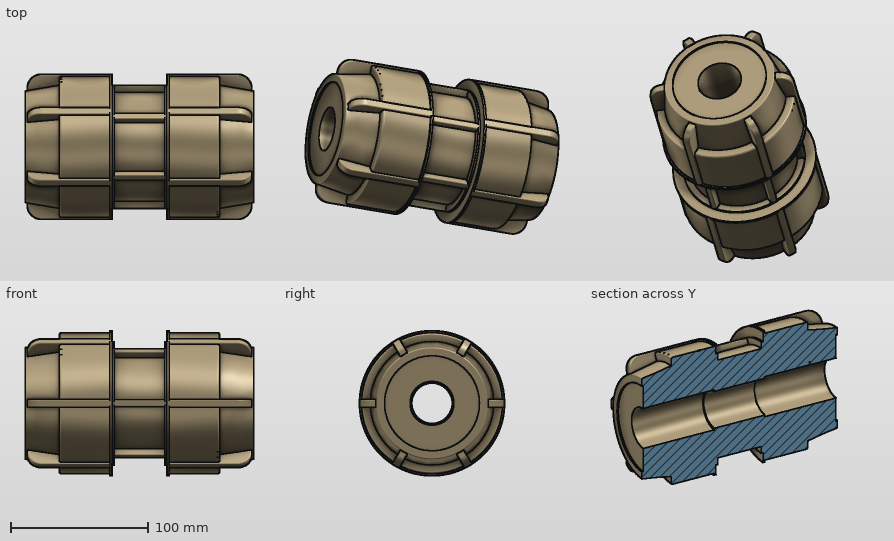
import cadquery as cq


half_length = 83.5
collar_start = 18.5
flange_start = 20.0
flange_end = 21.6
nut_shoulder = 58.5
nut_rib_end = 82.0

flange_radius = 106.0 / 2
nut_radius = 51.5
cone_base_radius = 90.1 / 2
cone_tip_radius = 40.75
collar_radius = cone_base_radius
body_radius = 39.75

rib_count = 6
rib_spacing = 360 / rib_count
rib_edge_round = 1.0
rib_root_radius = 36.0
nut_rib_width = 6.0
nut_rib_corner = 10.5
body_rib_width = 5.0

shoulder_round = 1.75
face_round = 1.0

recess_radius = 69.3 / 2
recess_depth = 1.2
bore_radius = 32.0 / 2
stop_radius = 29.44 / 2
stop_half_length = flange_end


def revolve_about_x(profile):
    """Turn an open (x, radius) profile, once closed, about the X axis."""
    return profile.close().revolve(360, (0, 0, 0), (1, 0, 0))


def cylinder(radius, start, end):
    return cq.Workplane("YZ", origin=(start, 0, 0)).circle(radius).extrude(end - start)


def turn(solid, angle):
    return solid.rotate((0, 0, 0), (1, 0, 0), angle)


def mirrored(solid):
    """Return the solid joined with its mirror image across the middle plane."""
    return solid.union(solid.mirror("YZ"))


def around_axis(single_rib):
    """Return copies of a rib, spaced evenly about the X axis."""
    return [turn(single_rib, index * rib_spacing) for index in range(rib_count)]


def rib_from_ring(ring, width):
    """Cut one rib of the given width, on the -Y side, out of a ring about X."""
    slab = cq.Workplane("XY").box(2 * half_length, 2 * flange_radius, width)
    return ring.intersect(slab.translate((0, -flange_radius, 0)))


def body_rib():
    ring = cylinder(collar_radius, -collar_start, collar_start)
    ring = ring.cut(cylinder(rib_root_radius, -collar_start, collar_start))
    blank = rib_from_ring(ring, body_rib_width)
    return blank.faces("<Z or >Z").edges("<Y").fillet(rib_edge_round)


def central_body():
    """A cylinder as wide as its collars, with windows sunk between its ribs."""
    waist = cylinder(body_radius, -collar_start, collar_start)
    windows = cylinder(collar_radius, -collar_start, collar_start).cut(waist)
    for rib in around_axis(body_rib()):
        windows = windows.cut(rib)
    return cylinder(collar_radius, -flange_start, flange_start).cut(windows)


def nut_blank():
    """The +X nut without ribs: flange, round sleeve, and tapered nose."""
    blank = revolve_about_x(
        cq.Workplane("XY")
        .moveTo(flange_start, 0)
        .lineTo(flange_start, flange_radius)
        .lineTo(flange_end, flange_radius)
        .lineTo(flange_end, nut_radius)
        .lineTo(nut_shoulder - shoulder_round, nut_radius)
        .radiusArc((nut_shoulder, nut_radius - shoulder_round), shoulder_round)
        .lineTo(nut_shoulder, cone_base_radius)
        .lineTo(half_length, cone_tip_radius)
        .lineTo(half_length, 0)
    )
    blank = blank.faces(">X").edges().fillet(face_round)
    return turn(blank, rib_spacing / 2)


def nut_rib():
    ring = revolve_about_x(
        cq.Workplane("XY")
        .moveTo(flange_end, rib_root_radius)
        .lineTo(flange_end, flange_radius)
        .lineTo(nut_rib_end - nut_rib_corner, flange_radius)
        .radiusArc((nut_rib_end, flange_radius - nut_rib_corner), nut_rib_corner)
        .lineTo(nut_rib_end, rib_root_radius)
    )
    blank = rib_from_ring(ring, nut_rib_width)
    side_edges = blank.faces("<Z or >Z").edges("not(<X or >Y)")
    return side_edges.fillet(rib_edge_round)


def nut():
    solid = nut_blank()
    for rib in around_axis(nut_rib()):
        solid = solid.union(rib)
    return solid


def bores():
    """Bore and shallow face recess at each end, with a narrower stop in the middle."""
    bore = cylinder(bore_radius, stop_half_length, half_length)
    recess = cylinder(recess_radius, half_length - recess_depth, half_length)
    passage = cylinder(stop_radius, -half_length, half_length)
    return passage.union(mirrored(bore.union(recess)))


result = central_body().union(mirrored(nut())).cut(bores())